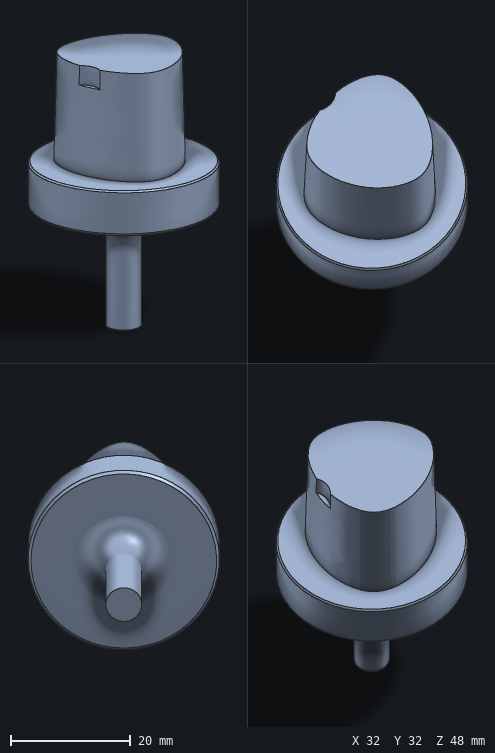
import cadquery as cq
import math

TOTAL_HEIGHT = 48.0
STEM_HEIGHT = 16.0
NECK_RADIUS = 5.0
FLANGE_THICKNESS = 8.0
FLANGE_BOTTOM = STEM_HEIGHT + NECK_RADIUS
FLANGE_TOP = FLANGE_BOTTOM + FLANGE_THICKNESS
TAPER_HEIGHT = TOTAL_HEIGHT - FLANGE_TOP

STEM_DIAMETER = 6.0
FLANGE_DIAMETER = 32.0
UPPER_CHAMFER = 0.3
LOWER_CHAMFER = 0.5

POLYGON_WIDTH = 22.0
LOBE_ECCENTRICITY = 0.7
LOBE_COUNT = 3
LOBE_HALF_ANGLE = math.radians(24)
SPLINE_STEPS = 8
TAPER_RATIO = 1 / 20

NOTCH_RADIUS = 3.55
NOTCH_DEPTH = 3.4
NOTCH_INNER_Y = -9.0


def polygon_point(width, angle):
    """Point whose tangent line lies width/2 + e*cos(3*angle) from the centre."""
    support = width / 2 + LOBE_ECCENTRICITY * math.cos(LOBE_COUNT * angle)
    slope = -LOBE_COUNT * LOBE_ECCENTRICITY * math.sin(LOBE_COUNT * angle)
    x = support * math.sin(angle) + slope * math.cos(angle)
    y = support * math.cos(angle) - slope * math.sin(angle)
    return x, y


def add_polygon(plane, width):
    """Closed outline with a spline for each lobe tip and each flank between tips."""
    pitch = 2 * math.pi / LOBE_COUNT
    outline = plane.moveTo(*polygon_point(width, -LOBE_HALF_ANGLE))
    for lobe in range(LOBE_COUNT):
        tip_start = lobe * pitch - LOBE_HALF_ANGLE
        tip_end = lobe * pitch + LOBE_HALF_ANGLE
        for start, end in ((tip_start, tip_end), (tip_end, tip_start + pitch)):
            step = (end - start) / SPLINE_STEPS
            points = [polygon_point(width, start + i * step) for i in range(1, SPLINE_STEPS + 1)]
            tangents = [(math.cos(angle), -math.sin(angle)) for angle in (start, end)]
            outline = outline.spline(points, tangents=tangents, includeCurrent=True)
    return outline.close()


def make_stem_and_flange():
    stem_radius = STEM_DIAMETER / 2
    flange_radius = FLANGE_DIAMETER / 2
    neck_outer_radius = stem_radius + NECK_RADIUS
    neck_mid = (
        neck_outer_radius - NECK_RADIUS * math.cos(math.pi / 4),
        STEM_HEIGHT + NECK_RADIUS * math.sin(math.pi / 4),
    )
    profile = (
        cq.Workplane("XZ")
        .lineTo(stem_radius, 0)
        .lineTo(stem_radius, STEM_HEIGHT)
        .threePointArc(neck_mid, (neck_outer_radius, FLANGE_BOTTOM))
        .lineTo(flange_radius - LOWER_CHAMFER, FLANGE_BOTTOM)
        .lineTo(flange_radius, FLANGE_BOTTOM + LOWER_CHAMFER)
        .lineTo(flange_radius, FLANGE_TOP - UPPER_CHAMFER)
        .lineTo(flange_radius - UPPER_CHAMFER, FLANGE_TOP)
        .lineTo(0, FLANGE_TOP)
        .close()
    )
    return profile.revolve(360, (0, 0), (0, 1))


def make_taper():
    top_width = POLYGON_WIDTH - TAPER_RATIO * TAPER_HEIGHT
    base = add_polygon(cq.Workplane("XY", origin=(0, 0, FLANGE_TOP)), POLYGON_WIDTH)
    return add_polygon(base.workplane(offset=TAPER_HEIGHT), top_width).loft(ruled=True)


def make_notch():
    return (
        cq.Workplane("XY", origin=(0, NOTCH_INNER_Y - NOTCH_RADIUS, TOTAL_HEIGHT - NOTCH_DEPTH))
        .circle(NOTCH_RADIUS)
        .extrude(NOTCH_DEPTH)
    )


taper = make_taper().cut(make_notch())
result = make_stem_and_flange().union(taper)